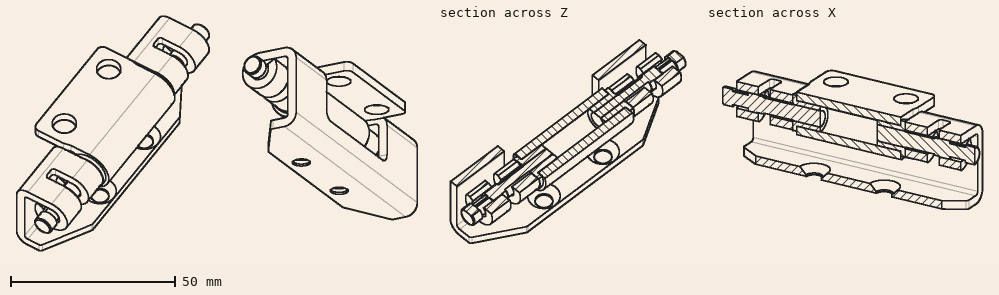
import cadquery as cq
import math


pin_radius = 3.0
curl_gap = 0.1
hole_spacing = 25.0

bracket_sheet = 2.9
bracket_length = 80.1
bracket_left = -12.5
bracket_bottom = -20.2
foot_top = bracket_bottom + bracket_sheet
bend_inner_radius = 1.1
bend_outer_radius = bend_inner_radius + bracket_sheet
knuckle_radius = pin_radius + bracket_sheet
foot_right = 5.0
foot_end_x = -3.9
foot_taper_angle = 30.0
foot_corner_radius = 1.0
window_length = 40.0
window_bottom = -10.7
window_corner_radius = 3.0
slot_left = -7.1
slot_width = 4.05
slot_center_y = 30.15
slot_corner_radius = 1.0
screw_hole_radius = 2.7
countersink_radius = 4.95
countersink_angle = 90.0

leaf_sheet = 3.0
leaf_knuckle_radius = 7.1
leaf_bore_radius = leaf_knuckle_radius - leaf_sheet
leaf_left = -20.0
leaf_plate_length = 38.25
leaf_knuckle_length = 37.3
leaf_corner_radius = 2.0
leaf_step_start_x = -9.1
leaf_step_end_x = -6.7
leaf_hole_x = -12.9
leaf_hole_radius = 3.7

bush_flange_radius = 6.0
bush_length = 9.9
bush_inner_y = window_length / 2 - bush_length

overall_length = 90.0
pin_shank_radius = 2.6
pin_neck_radius = 2.25
pin_shoulder_y = 30.4
pin_neck_y = 36.0
pin_head_length = 3.5
pin_head_chamfer = 0.4


def polar(radius, angle):
    """Point in the XZ plane at an angle from +X about the hinge axis."""
    turn = math.radians(angle)
    return (radius * math.cos(turn), radius * math.sin(turn))


def rolled_edge(outer_radius, inner_radius, length):
    """Rolled strip running clockwise from the top of the knuckle to its free end."""
    end_angle = 180 - math.degrees(math.asin((inner_radius - curl_gap) / outer_radius))
    middle_angle = (90 + end_angle - 360) / 2
    return (
        cq.Workplane("XZ")
        .moveTo(0, outer_radius)
        .threePointArc(polar(outer_radius, middle_angle), polar(outer_radius, end_angle))
        .lineTo(*polar(inner_radius, end_angle))
        .threePointArc(polar(inner_radius, middle_angle), (0, inner_radius))
        .close()
        .extrude(length / 2, both=True)
    )


def bar(left, right, bottom, top, length):
    """Rectangular bar along Y, centred on Y = 0."""
    return cq.Workplane("XY", origin=(left, 0, bottom)).box(
        right - left, length, top - bottom, centered=(False, True, False)
    )


def folded_channel():
    """Bracket sheet: upper flange, wall and lower flange joined by two rounded bends."""
    outside = bar(bracket_left, foot_right, bracket_bottom, knuckle_radius, bracket_length)
    inside = bar(bracket_left + bracket_sheet, foot_right, foot_top, pin_radius, bracket_length)
    channel = outside.edges("|Y and <X").fillet(bend_outer_radius).cut(
        inside.edges("|Y and <X").fillet(bend_inner_radius)
    )
    return channel.cut(bar(0, foot_right, 0, knuckle_radius, bracket_length))


def foot_trim():
    """Material outside the tapered outline of the lower flange, towards both bracket ends."""
    end_y = bracket_length / 2
    taper_y = end_y - (foot_right - foot_end_x) / math.tan(math.radians(foot_taper_angle))
    outline = (
        cq.Workplane("XY", origin=(0, 0, bracket_bottom))
        .moveTo(bracket_left, -end_y)
        .lineTo(foot_end_x, -end_y)
        .lineTo(foot_right, -taper_y)
        .lineTo(foot_right, taper_y)
        .lineTo(foot_end_x, end_y)
        .lineTo(bracket_left, end_y)
        .close()
        .extrude(bracket_sheet)
        .edges("|Z and (not <X)")
        .fillet(foot_corner_radius)
    )
    return bar(bracket_left, foot_right, bracket_bottom, foot_top, bracket_length).cut(outline)


def make_bracket():
    body = folded_channel().cut(foot_trim())
    body = body.union(rolled_edge(knuckle_radius, pin_radius, bracket_length))

    window = bar(bracket_left, knuckle_radius, window_bottom, knuckle_radius, window_length)
    body = body.cut(window.edges("|X and <Z").fillet(window_corner_radius))

    for side in (-1, 1):
        slot = (
            bar(slot_left, knuckle_radius, -knuckle_radius, knuckle_radius, slot_width)
            .edges("|Z and <X")
            .fillet(slot_corner_radius)
            .translate((0, side * slot_center_y, 0))
        )
        body = body.cut(slot)

    return (
        body.copyWorkplane(cq.Workplane("XY", origin=(0, 0, foot_top)))
        .pushPoints([(0, -hole_spacing / 2), (0, hole_spacing / 2)])
        .cskHole(2 * screw_hole_radius, 2 * countersink_radius, countersink_angle, bracket_sheet)
    )


def make_leaf():
    half_plate = leaf_plate_length / 2
    half_knuckle = leaf_knuckle_length / 2

    plate = (
        bar(leaf_left, 0, leaf_bore_radius, leaf_knuckle_radius, leaf_plate_length)
        .edges("|Z and <X")
        .fillet(leaf_corner_radius)
    )
    body = plate.union(rolled_edge(leaf_knuckle_radius, leaf_bore_radius, leaf_plate_length))

    for side in (-1, 1):
        end_trim = (
            cq.Workplane("XY", origin=(0, 0, -leaf_knuckle_radius))
            .moveTo(leaf_step_start_x, side * half_plate)
            .lineTo(leaf_step_end_x, side * half_knuckle)
            .lineTo(leaf_knuckle_radius, side * half_knuckle)
            .lineTo(leaf_knuckle_radius, side * half_plate)
            .close()
            .extrude(2 * leaf_knuckle_radius)
        )
        body = body.cut(end_trim)

    holes = (
        cq.Workplane("XY", origin=(leaf_hole_x, 0, leaf_bore_radius))
        .pushPoints([(0, -hole_spacing / 2), (0, hole_spacing / 2)])
        .circle(leaf_hole_radius)
        .extrude(leaf_sheet)
    )
    return body.cut(holes)


def revolved(points, side):
    """Solid turned about the hinge axis from (radius, distance along Y) points, on one side."""
    return (
        cq.Workplane("XY")
        .polyline([(radius, side * y) for radius, y in points])
        .close()
        .revolve(360, (0, 0, 0), (0, 1, 0))
    )


def make_bush(side):
    flange_inner_y = leaf_knuckle_length / 2
    flange_outer_y = window_length / 2
    profile = [
        (pin_shank_radius, bush_inner_y),
        (leaf_bore_radius, bush_inner_y),
        (leaf_bore_radius, flange_inner_y),
        (bush_flange_radius, flange_inner_y),
        (bush_flange_radius, flange_outer_y),
        (pin_shank_radius, flange_outer_y),
    ]
    return revolved(profile, side)


def make_pin(side):
    tip_y = overall_length / 2
    head_y = tip_y - pin_head_length
    profile = [
        (0, bush_inner_y),
        (pin_shank_radius, bush_inner_y),
        (pin_shank_radius, pin_shoulder_y),
        (pin_radius, pin_shoulder_y),
        (pin_radius, pin_neck_y),
        (pin_neck_radius, pin_neck_y),
        (pin_neck_radius, head_y),
        (pin_radius, head_y),
        (pin_radius, tip_y - pin_head_chamfer),
        (pin_radius - pin_head_chamfer, tip_y),
        (0, tip_y),
    ]
    return revolved(profile, side)


bracket = make_bracket()
leaf = make_leaf()
bushes = [make_bush(side) for side in (-1, 1)]
pins = [make_pin(side) for side in (-1, 1)]

result = cq.Compound.makeCompound(
    [bracket.val(), leaf.val()] + [body.val() for body in bushes + pins]
)